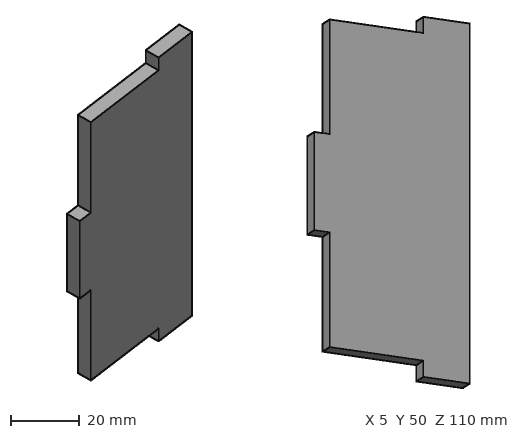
import cadquery as cq

height = 110.0
depth = 50.0
thickness = 5.0

step = 5.0
ear_depth = 15.0
tab_height = 30.0

back_y = depth / 2
tab_y = -depth / 2
front_y = tab_y + step
ear_y = back_y - ear_depth

half_height = height / 2
panel_half_height = half_height - step
tab_half_height = tab_height / 2

lower_outline = [
    (back_y, -half_height),
    (ear_y, -half_height),
    (ear_y, -panel_half_height),
    (front_y, -panel_half_height),
    (front_y, -tab_half_height),
    (tab_y, -tab_half_height),
]
upper_outline = [(y, -z) for y, z in reversed(lower_outline)]

result = (
    cq.Workplane("YZ")
    .polyline(lower_outline + upper_outline)
    .close()
    .extrude(thickness / 2, both=True)
)